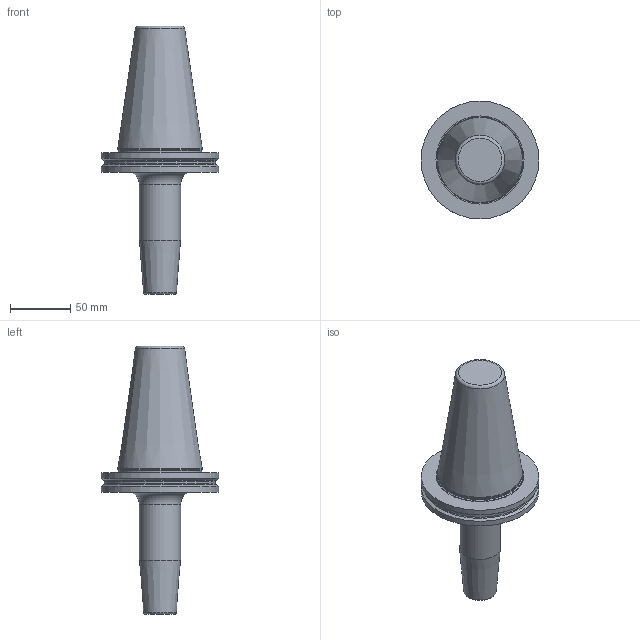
import cadquery as cq
import math


TAPER_RATIO = 7 / 24
GAUGE_RADIUS = 69.85 / 2
TAPER_LENGTH = 101.75
TAPER_END_FILLET = 2.5
TAPER_END_RADIUS = GAUGE_RADIUS - TAPER_LENGTH * TAPER_RATIO / 2

FLANGE_RADIUS = 97.5 / 2
FLANGE_TOP_Z = -3.2
FLANGE_BOTTOM_Z = -19.1

GROOVE_CENTER_Z = -11.1
GROOVE_FLOOR_RADIUS = 46
GROOVE_FLOOR_WIDTH = 3.3
GROOVE_WALL_ANGLE = 30
GROOVE_CORNER_FILLET = 1.0

UNDERCUT_DEPTH = 0.2
UNDERCUT_FACE_DEPTH = 0.2
UNDERCUT_FILLET = 0.8
UNDERCUT_START_Z = -0.8
UNDERCUT_NECK_Z = -1.5
UNDERCUT_RIM_RADIUS = 36.45

SHANK_RADIUS = 34 / 2
SHANK_FILLET = 10
NOSE_END_RADIUS = 27 / 2
NOSE_END_Z = -120
NOSE_HALF_ANGLE = 4.5
NOSE_FILLET = 1


def make_body():
    """Revolve the half profile, from the small end of the taper down to the nose."""
    neck_radius = GAUGE_RADIUS - UNDERCUT_DEPTH
    undercut_floor_z = FLANGE_TOP_Z - UNDERCUT_FACE_DEPTH
    cone_length = (SHANK_RADIUS - NOSE_END_RADIUS) / math.tan(math.radians(NOSE_HALF_ANGLE))
    profile = (
        cq.Workplane("XZ")
        .moveTo(0, TAPER_LENGTH)
        .lineTo(TAPER_END_RADIUS, TAPER_LENGTH)
        .lineTo(GAUGE_RADIUS, 0)
        .lineTo(GAUGE_RADIUS, UNDERCUT_START_Z)
        .lineTo(neck_radius, UNDERCUT_NECK_Z)
        .lineTo(neck_radius, undercut_floor_z + UNDERCUT_FILLET)
        .radiusArc((neck_radius + UNDERCUT_FILLET, undercut_floor_z), -UNDERCUT_FILLET)
        .lineTo(UNDERCUT_RIM_RADIUS, FLANGE_TOP_Z)
        .lineTo(FLANGE_RADIUS, FLANGE_TOP_Z)
        .lineTo(FLANGE_RADIUS, FLANGE_BOTTOM_Z)
        .lineTo(SHANK_RADIUS + SHANK_FILLET, FLANGE_BOTTOM_Z)
        .radiusArc((SHANK_RADIUS, FLANGE_BOTTOM_Z - SHANK_FILLET), -SHANK_FILLET)
        .lineTo(SHANK_RADIUS, NOSE_END_Z + cone_length)
        .lineTo(NOSE_END_RADIUS, NOSE_END_Z)
        .lineTo(0, NOSE_END_Z)
        .close()
    )
    return profile.revolve(360, (0, 0, 0), (0, 1, 0))


def make_groove_ring():
    """Ring with the V-groove's section: sloped walls, rounded into a flat floor."""
    groove_depth = FLANGE_RADIUS - GROOVE_FLOOR_RADIUS
    floor_half_width = GROOVE_FLOOR_WIDTH / 2
    mouth_half_width = floor_half_width + groove_depth * math.tan(math.radians(GROOVE_WALL_ANGLE))
    ring = (
        cq.Workplane("XZ")
        .moveTo(GROOVE_FLOOR_RADIUS, GROOVE_CENTER_Z + floor_half_width)
        .lineTo(FLANGE_RADIUS, GROOVE_CENTER_Z + mouth_half_width)
        .lineTo(FLANGE_RADIUS, GROOVE_CENTER_Z - mouth_half_width)
        .lineTo(GROOVE_FLOOR_RADIUS, GROOVE_CENTER_Z - floor_half_width)
        .close()
        .revolve(360, (0, 0, 0), (0, 1, 0))
    )
    floor_corners = cq.selectors.RadiusNthSelector(0)
    return ring.edges(floor_corners).fillet(GROOVE_CORNER_FILLET)


def finish_ends(body):
    """Round the small end of the taper and the tip of the nose."""
    rounded = body.faces(">Z").edges().fillet(TAPER_END_FILLET)
    return rounded.faces("<Z").edges().fillet(NOSE_FILLET)


result = finish_ends(make_body().cut(make_groove_ring()))